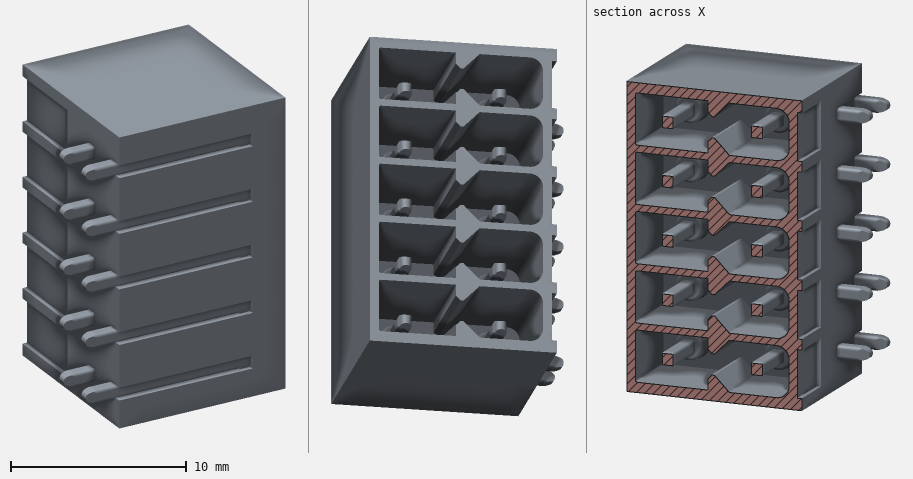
import cadquery as cq

HOUSING_X = 11.2
HOUSING_Y = 10.85
HOUSING_Z = 18.3
ROWS = 5
ROW_PITCH = 3.5

CAVITY_DEPTH = 6.5
CAVITY_DRAFT_ANGLE = 0.5
CAVITY_HEIGHT = 3.1
CAVITY_Y_LOW = 0.8
TOP_WALL = 0.53
CAVITY_Y_HIGH = HOUSING_Y - TOP_WALL
LOW_CORNER_RADIUS = 0.77
HIGH_CORNER_RADIUS = 0.11

TOOTH_HEIGHT = 0.93
TOOTH_Y_STEEP = 5.85
TOOTH_TIP_WIDTH = 0.16
TOOTH_TIP_CHAMFER = 0.27

RECESS_LENGTH = 5.22
RECESS_HEIGHT = 2.84
RECESS_DEPTH = 0.27

PIN_WIDTH = 0.8
PIN_CORNER_RADIUS = 0.2
TIP_LENGTH = 0.64
TIP_WIDTH = 0.5
TIP_ROUND_WIDTH = 0.59
TIP_ROUND_HEIGHT = 0.25
SOLDER_LENGTH = 1.94
CONTACT_TIP_X = 2.0
LOWER_CONTACT_Y = 2.8
UPPER_CONTACT_Y = 8.3
INNER_LEG_X = 7.96
OUTER_LEG_X = 10.5

COLLAR_HEIGHT = 1.0
COLLAR_BASE_DIAMETER = 1.87
COLLAR_TOP_DIAMETER = 1.68
COLLAR_ROUNDING = 0.18


def box(x_range, y_range, z_range):
    """Box spanning the given (low, high) ranges."""
    (x0, x1), (y0, y1), (z0, z1) = x_range, y_range, z_range
    return cq.Workplane("XY").box(x1 - x0, y1 - y0, z1 - z0, centered=False).translate((x0, y0, z0))


def make_tooth(side):
    """Keying tooth on the upper (side = 1) or lower (side = -1) cavity wall."""
    wall_z = side * CAVITY_HEIGHT / 2
    tip_z = wall_z - side * TOOTH_HEIGHT
    tip_y_high = TOOTH_Y_STEEP - TOOTH_TIP_CHAMFER
    tip_y_low = tip_y_high - TOOTH_TIP_WIDTH
    outline = [
        (TOOTH_Y_STEEP, wall_z),
        (TOOTH_Y_STEEP, tip_z + side * TOOTH_TIP_CHAMFER),
        (tip_y_high, tip_z),
        (tip_y_low, tip_z),
        (tip_y_low - TOOTH_HEIGHT, wall_z),
    ]
    return cq.Workplane("YZ").polyline(outline).close().extrude(CAVITY_DEPTH)


def make_cavity():
    """Plug cavity centred on z = 0, with both keying teeth left standing."""
    cavity = (
        cq.Workplane("YZ")
        .center((CAVITY_Y_LOW + CAVITY_Y_HIGH) / 2, 0)
        .rect(CAVITY_Y_HIGH - CAVITY_Y_LOW, CAVITY_HEIGHT)
        .extrude(CAVITY_DEPTH, taper=CAVITY_DRAFT_ANGLE)
    )
    cavity = cavity.edges("not #X").edges("<Y").fillet(LOW_CORNER_RADIUS)
    cavity = cavity.faces(">Y").edges("not #X").fillet(HIGH_CORNER_RADIUS)
    for side in (1, -1):
        cavity = cavity.cut(make_tooth(side))
    return cavity


def make_recess():
    half_height = RECESS_HEIGHT / 2
    return box((0, RECESS_LENGTH), (0, RECESS_DEPTH), (-half_height, half_height))


def make_leg_slot():
    """Slot in the rear face that leaves the outer solder leg open to the back."""
    half_width = PIN_WIDTH / 2
    return box((OUTER_LEG_X, HOUSING_X), (0, UPPER_CONTACT_Y + half_width), (-half_width, half_width))


def make_bar(length):
    """Round-cornered square bar along Z, tip up at z = 0: tapered across X, tapered and rounded across Y."""
    half_width = PIN_WIDTH / 2
    half_round = TIP_ROUND_WIDTH / 2
    bar = cq.Workplane("XY").rect(PIN_WIDTH, PIN_WIDTH).extrude(-length)
    bar = bar.edges("|Z").fillet(PIN_CORNER_RADIUS)
    tapered_profile = (
        cq.Workplane("XZ")
        .moveTo(-half_width, -length)
        .lineTo(-half_width, -TIP_LENGTH)
        .lineTo(-TIP_WIDTH / 2, 0)
        .lineTo(TIP_WIDTH / 2, 0)
        .lineTo(half_width, -TIP_LENGTH)
        .lineTo(half_width, -length)
        .close()
        .extrude(half_width, both=True)
    )
    rounded_profile = (
        cq.Workplane("YZ")
        .moveTo(-half_width, -length)
        .lineTo(-half_width, -TIP_LENGTH)
        .lineTo(-half_round, -TIP_ROUND_HEIGHT)
        .threePointArc((0, 0), (half_round, -TIP_ROUND_HEIGHT))
        .lineTo(half_width, -TIP_LENGTH)
        .lineTo(half_width, -length)
        .close()
        .extrude(half_width, both=True)
    )
    return bar.intersect(tapered_profile).intersect(rounded_profile)


def make_pin(contact_y, leg_x):
    """L-shaped pin: contact along X pointing to the mating face, solder leg along -Y."""
    half_width = PIN_WIDTH / 2
    contact = make_bar(leg_x + half_width - CONTACT_TIP_X)
    contact = contact.rotate((0, 0, 0), (0, 1, 0), -90)
    contact = contact.translate((CONTACT_TIP_X, contact_y, 0))
    leg = make_bar(SOLDER_LENGTH + contact_y + half_width)
    leg = leg.rotate((0, 0, 0), (1, 0, 0), 90).translate((leg_x, -SOLDER_LENGTH, 0))
    return contact.union(leg)


def make_collar(contact_y):
    collar = (
        cq.Workplane("YZ", origin=(CAVITY_DEPTH, contact_y, 0))
        .circle(COLLAR_BASE_DIAMETER / 2)
        .workplane(offset=-COLLAR_HEIGHT)
        .circle(COLLAR_TOP_DIAMETER / 2)
        .loft()
    )
    return collar.faces("<X").edges().fillet(COLLAR_ROUNDING)


housing = cq.Workplane("XY").box(HOUSING_X, HOUSING_Y, HOUSING_Z, centered=(False, False, True))
row_cut = make_cavity().union(make_recess()).union(make_leg_slot())
row_pins = make_pin(LOWER_CONTACT_Y, INNER_LEG_X).union(make_pin(UPPER_CONTACT_Y, OUTER_LEG_X))
for y in (LOWER_CONTACT_Y, UPPER_CONTACT_Y):
    row_pins = row_pins.union(make_collar(y))

result = housing
for row in range(ROWS):
    row_z = (row - (ROWS - 1) / 2) * ROW_PITCH
    result = result.cut(row_cut.translate((0, 0, row_z)))
    result = result.union(row_pins.translate((0, 0, row_z)))